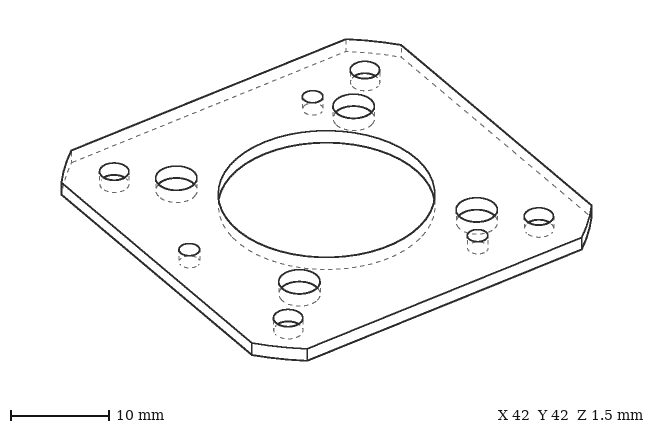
import cadquery as cq

side = 42
thickness = 1.5
corner_circle_diameter = 54.0

bore_diameter = 22.0
outer_hole_diameter = 3.0
outer_hole_spacing = 31.0
inner_hole_diameter = 4.2
inner_hole_spacing = 21.92
small_hole_diameter = 2.1
small_hole_circle_radius = 16.95
small_hole_count = 3
small_hole_start_angle = -90


def square_hole_pattern(plate, spacing, diameter):
    """Drill four through holes at the corners of a centred square."""
    return plate.faces(">Z").workplane(origin=(0, 0, 0)).rect(
        spacing, spacing, forConstruction=True
    ).vertices().hole(diameter)


corner_limit = cq.Workplane("XY").circle(corner_circle_diameter / 2).extrude(thickness)
plate = cq.Workplane("XY").rect(side, side).extrude(thickness).intersect(corner_limit)

plate = plate.faces(">Z").workplane(origin=(0, 0, 0)).hole(bore_diameter)

plate = square_hole_pattern(plate, outer_hole_spacing, outer_hole_diameter)
plate = square_hole_pattern(plate, inner_hole_spacing, inner_hole_diameter)

result = (
    plate.faces(">Z")
    .workplane(origin=(0, 0, 0))
    .polarArray(small_hole_circle_radius, small_hole_start_angle, 360, small_hole_count)
    .hole(small_hole_diameter)
)